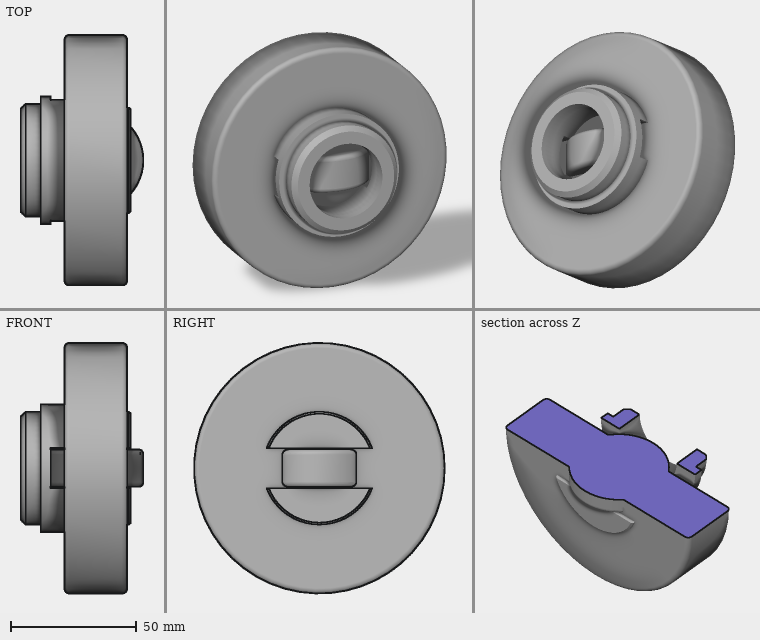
import cadquery as cq

disc_radius = 50.0
disc_start = 17.5
disc_width = 25.0
disc_fillet = 2.0
disc_end = disc_start + disc_width

hub_radius = 22.5
hub_chamfer = 2.0
hub_end = disc_end + 1.5
hub_end_chamfer = 0.8

flange_radius = 25.5
flange_start = 8.0

bore_radius = 15.5
bore_depth = disc_start

slot_start = 12.0
slot_height = 16.0

wheel_radius = 20.0
wheel_clearance = 0.5
wheel_width = slot_height - 2 * wheel_clearance
wheel_fillet = 2.0
wheel_end = 49.0
wheel_center = wheel_end - wheel_radius


def cylinder_x(radius, start, end):
    """Solid cylinder along X between two stations."""
    return cq.Workplane("YZ", origin=(start, 0, 0)).circle(radius).extrude(end - start)


def make_body():
    """Disc, flange and hub, with the blind bore in the hub's front face."""
    disc = cylinder_x(disc_radius, disc_start, disc_end).edges().fillet(disc_fillet)
    hub = cylinder_x(hub_radius, 0, hub_end)
    hub = hub.faces("<X").edges().chamfer(hub_chamfer)
    hub = hub.faces(">X").edges().chamfer(hub_end_chamfer)
    flange = cylinder_x(flange_radius, flange_start, disc_start)
    bore = cylinder_x(bore_radius, 0, bore_depth)
    return disc.union(hub).union(flange).cut(bore)


def make_slot(start, end):
    """Straight slot along Y between two stations on X."""
    profile = cq.Workplane("YZ", origin=(start, 0, 0)).rect(2 * flange_radius, slot_height)
    return profile.extrude(end - start)


def make_wheel():
    """Rounded wheel turned on Z, set into the solid disc and showing on both sides."""
    wheel = cq.Workplane("XY", origin=(wheel_center, 0, -wheel_width / 2))
    return wheel.circle(wheel_radius).extrude(wheel_width).edges().fillet(wheel_fillet)


front_slot = make_slot(slot_start, disc_start)
back_slot = make_slot(disc_end, hub_end)
result = make_body().cut(front_slot).cut(back_slot).union(make_wheel())